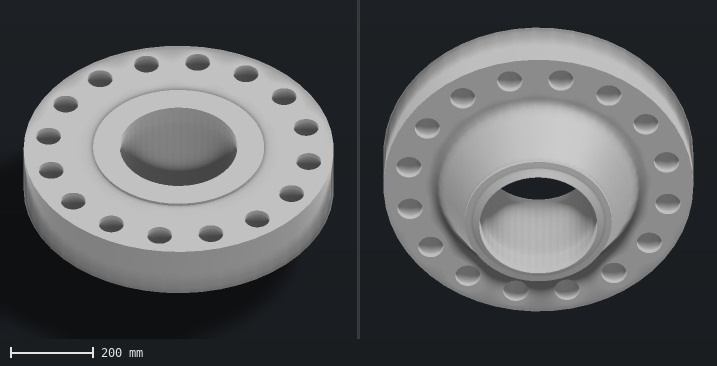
import cadquery as cq

flange_diameter = 749.0
flange_thickness = 133.5
face_diameter = 413.5
face_height = 7.0
total_height = 305.0

bore_diameter = 285.0

bolt_count = 16
bolt_circle_diameter = 635.5
bolt_hole_diameter = 61.0

hub_top_diameter = 495.0
hub_end_diameter = 355.0
hub_height = 140.0
hub_fillet_radius = 20.0

land_height = 9.0
bevel_break_diameter = 321.0
shallow_bevel_height = 3.0
root_diameter = 288.0

flange_top = total_height - face_height
flange_bottom = flange_top - flange_thickness
hub_end = flange_bottom - hub_height
land_end = hub_end - land_height
bevel_break = land_end - shallow_bevel_height


def make_body():
    """Revolve the solid outer profile about Z and fillet the hub root."""
    profile = [
        (0, 0),
        (root_diameter / 2, 0),
        (bevel_break_diameter / 2, bevel_break),
        (hub_end_diameter / 2, land_end),
        (hub_end_diameter / 2, hub_end),
        (hub_top_diameter / 2, flange_bottom),
        (flange_diameter / 2, flange_bottom),
        (flange_diameter / 2, flange_top),
        (face_diameter / 2, flange_top),
        (face_diameter / 2, total_height),
        (0, total_height),
    ]
    body = cq.Workplane("XZ").polyline(profile).close().revolve(360, (0, 0), (0, 1))
    hub_root = cq.selectors.RadiusNthSelector(-2)
    return body.edges("%CIRCLE").edges(hub_root).fillet(hub_fillet_radius)


def make_bore():
    return cq.Workplane("XY").circle(bore_diameter / 2).extrude(total_height)


def make_bolt_holes():
    return (
        cq.Workplane("XY", origin=(0, 0, flange_bottom))
        .polarArray(bolt_circle_diameter / 2, 0, 360, bolt_count)
        .circle(bolt_hole_diameter / 2)
        .extrude(flange_thickness)
    )


result = make_body().cut(make_bore()).cut(make_bolt_holes())